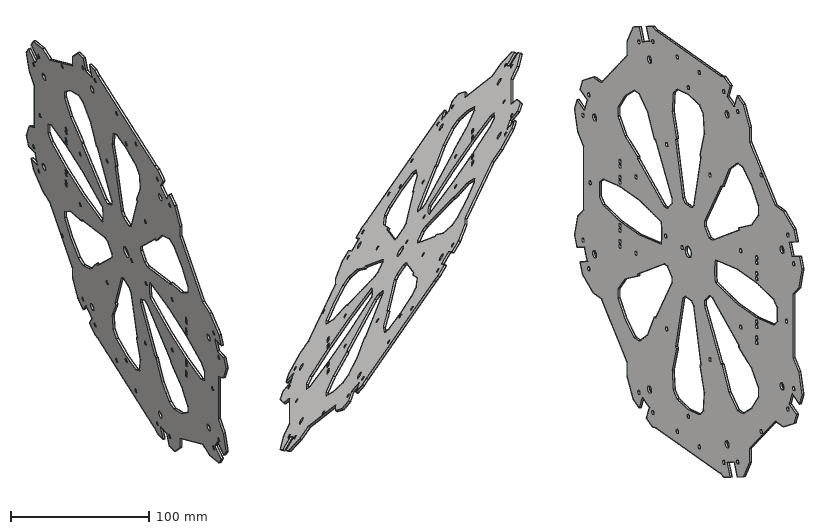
import cadquery as cq
import math

PLATE_HEIGHT = 319.25
THICKNESS = 1.75
CUT_CLEARANCE = 2.0

SECTORS = 8
SECTOR_ANGLE = 360 / SECTORS
HALF_SECTOR = math.radians(SECTOR_ANGLE / 2)
ARM_ANGLES = [(i + 0.5) * SECTOR_ANGLE for i in range(SECTORS)]

OCTAGON_APOTHEM = 147.2
STRAIGHT_EDGE_Z = 158.5
STRAIGHT_EDGE_HALF_LENGTH = 45.0

ARM_TIP_HALF_WIDTH = 14.7
ARM_TIP_RADIUS = (PLATE_HEIGHT / 2 - ARM_TIP_HALF_WIDTH * math.sin(HALF_SECTOR)) / math.cos(HALF_SECTOR)
ARM_SHOULDER_RADIUS = 156.2
ARM_SHOULDER_HALF_WIDTH = 28.4
ARM_ROOT_RADIUS = 145.4
ARM_ROOT_HALF_WIDTH = 32.9

NOTCH_FLOOR_RADIUS = 155.6
NOTCH_WIDTH = 10.6

TAPERED_WINDOW_HALF = [
    (125.6, 0.0),
    (123.4, 15.7),
    (118.4, 20.9),
    (103.2, 22.4),
    (83.8, 16.4),
    (82.6, 17.7),
    (40.0, 7.6),
    (37.1, 4.5),
]
TAPERED_WINDOW_ANGLES = [45, 90, 135, 225, 270, 315]

BARREL_WINDOW_HALF = [
    (124.8, 5.6),
    (119.6, 10.2),
    (96.0, 13.8),
    (68.8, 13.8),
    (38.2, 9.0),
    (37.2, 3.8),
]
BARREL_WINDOW_ANGLES = [0, 180]

SMALL_HOLE = 3.0
ARM_HOLE = 5.3
CENTRE_HOLE = 8.4

ARM_HOLE_RADIUS = 142.3
NOTCH_HOLE_OFFSET = NOTCH_WIDTH
SPOKE_HOLE_RADIUS = 79.5
EDGE_PAIR_X = 15.4
EDGE_PAIR_Z = 149.2
Z_AXIS_HOLE = 131.0
X_AXIS_HOLE = 137.8
LEFT_DIAGONAL_HOLE = 102.2
RIGHT_SIDE_HOLES_X = [8.7, 31.8]
COLUMN_X = 95.9
COLUMN_HOLES_Z = [17.3, 21.1, 30.0, 33.8]


def polar_frame(radial, tangential, angle):
    """Turn (radial, tangential) about the plate centre into (x, z)."""
    a = math.radians(angle)
    x = radial * math.cos(a) - tangential * math.sin(a)
    z = radial * math.sin(a) + tangential * math.cos(a)
    return (x, z)


def plate_from(points):
    """Plate-thick prism with the given (x, z) outline, centred on Y = 0."""
    return cq.Workplane("XZ").polyline(points).close().extrude(THICKNESS / 2, both=True)


def symmetric_plate(half_outline, angle):
    """Prism of a half outline mirrored across its radial axis, turned to an angle."""
    other_half = [(r, -w) for r, w in reversed(half_outline) if w > 0]
    return plate_from([polar_frame(r, w, angle) for r, w in half_outline + other_half])


def octagon_body():
    corner_radius = OCTAGON_APOTHEM / math.cos(HALF_SECTOR)
    octagon = plate_from([polar_frame(corner_radius, 0, angle) for angle in ARM_ANGLES])
    extension = cq.Workplane("XY").box(2 * STRAIGHT_EDGE_HALF_LENGTH, THICKNESS, 2 * STRAIGHT_EDGE_Z)
    return octagon.union(extension)


def add_arms(body):
    half_outline = [
        (ARM_TIP_RADIUS, ARM_TIP_HALF_WIDTH),
        (ARM_SHOULDER_RADIUS, ARM_SHOULDER_HALF_WIDTH),
        (ARM_ROOT_RADIUS, ARM_ROOT_HALF_WIDTH),
    ]
    for angle in ARM_ANGLES:
        body = body.union(symmetric_plate(half_outline, angle))
    return body


def cut_notches(body):
    half_outline = [
        (ARM_TIP_RADIUS + CUT_CLEARANCE, NOTCH_WIDTH / 2),
        (NOTCH_FLOOR_RADIUS, NOTCH_WIDTH / 2),
    ]
    for angle in ARM_ANGLES:
        body = body.cut(symmetric_plate(half_outline, angle))
    return body


def cut_windows(body, half_outline, angles):
    for angle in angles:
        body = body.cut(symmetric_plate(half_outline, angle))
    return body


def small_hole_points():
    points = [(x, 0) for x in RIGHT_SIDE_HOLES_X]
    for angle in ARM_ANGLES:
        points.append(polar_frame(SPOKE_HOLE_RADIUS, 0, angle))
        for side in (-1, 1):
            points.append(polar_frame(NOTCH_FLOOR_RADIUS, side * NOTCH_HOLE_OFFSET, angle))
    for side in (-1, 1):
        points.append((0, side * Z_AXIS_HOLE))
        points.append((side * X_AXIS_HOLE, 0))
        points.append((-LEFT_DIAGONAL_HOLE, side * LEFT_DIAGONAL_HOLE))
        for x_side in (-1, 1):
            points.append((x_side * EDGE_PAIR_X, side * EDGE_PAIR_Z))
            points.extend((x_side * COLUMN_X, side * z) for z in COLUMN_HOLES_Z)
    return points


def drill(body, points, diameter):
    """Through holes along Y at the given (x, z) points."""
    holes = cq.Workplane("XZ").pushPoints(points).circle(diameter / 2)
    return body.cut(holes.extrude(THICKNESS, both=True))


plate = cut_notches(add_arms(octagon_body()))
plate = cut_windows(plate, TAPERED_WINDOW_HALF, TAPERED_WINDOW_ANGLES)
plate = cut_windows(plate, BARREL_WINDOW_HALF, BARREL_WINDOW_ANGLES)
plate = drill(plate, small_hole_points(), SMALL_HOLE)
plate = drill(plate, [polar_frame(ARM_HOLE_RADIUS, 0, angle) for angle in ARM_ANGLES], ARM_HOLE)
plate = drill(plate, [(0, 0)], CENTRE_HOLE)

result = plate